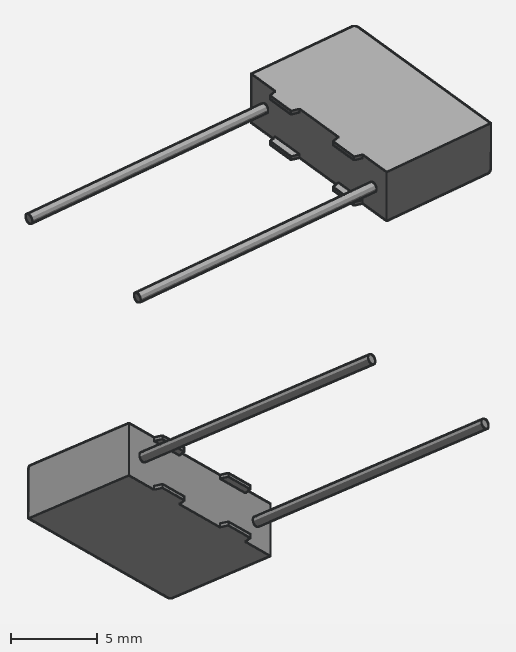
import cadquery as cq

total_length = 25.5
housing_width = 12.5
housing_depth = 8.0
housing_height = 3.5
back_edge_radius = 0.5

tab_length = 0.5
tab_thickness = 0.25
tab_root_width = 2.25
tab_tip_width = 1.95
tab_spacing = 5.81

lead_diameter = 0.65
lead_spacing = 10.0
lead_length = total_length - housing_depth


def make_tab(center_x, bottom_z):
    """Flat tab that narrows away from the front face."""
    root_half = tab_root_width / 2
    tip_half = tab_tip_width / 2
    outline = [
        (center_x - root_half, 0),
        (center_x - tip_half, -tab_length),
        (center_x + tip_half, -tab_length),
        (center_x + root_half, 0),
    ]
    return (
        cq.Workplane("XY")
        .workplane(offset=bottom_z)
        .polyline(outline)
        .close()
        .extrude(tab_thickness)
    )


def make_housing():
    """Box with rounded back edges and four tabs flush with its top and bottom faces."""
    body = (
        cq.Workplane("XY")
        .box(housing_width, housing_depth, housing_height, centered=(True, False, True))
        .faces(">Y")
        .edges()
        .fillet(back_edge_radius)
    )
    lower_tab_z = -housing_height / 2
    upper_tab_z = housing_height / 2 - tab_thickness
    for center_x in (-tab_spacing / 2, tab_spacing / 2):
        for bottom_z in (lower_tab_z, upper_tab_z):
            body = body.union(make_tab(center_x, bottom_z))
    return body


def make_lead(center_x):
    """Straight wire that butts against the front face and runs toward -Y."""
    return (
        cq.Workplane("XZ")
        .center(center_x, 0)
        .circle(lead_diameter / 2)
        .extrude(lead_length)
    )


housing = make_housing()
leads = [make_lead(center_x) for center_x in (-lead_spacing / 2, lead_spacing / 2)]

result = cq.Compound.makeCompound([housing.val(), *[lead.val() for lead in leads]])